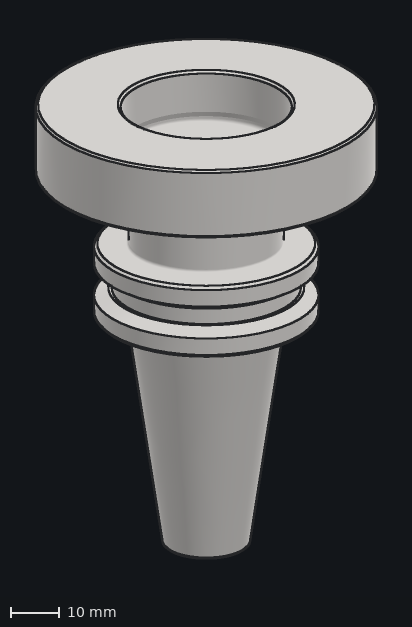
import cadquery as cq
import math

total_height = 97.6
edge_chamfer = 0.5

disc_radius = 70.0 / 2
disc_thickness = 15.0

bore_radius = 17.6
bore_depth = 11.7
bore_chamfer = 0.6
relief_width = 0.3
relief_wall_height = 0.5
relief_fillet = 1.0
relief_flare_angle = 15.0

neck_radius = 15.9
root_fillet = 0.8
disc_root_fillet = 0.6
gauge_height = 47.7
taper_slope = 7 / 24 / 2

flange_radius = 23.0
flange_bottom = 50.9
flange_top = 66.7
flange_chamfer = 0.7
groove_radius = 19.4
groove_floor_width = 3.7
groove_shoulder = 0.7
groove_side_angle = 30.0
cut_clearance = 1.0


def revolve_outline(outline):
    """Revolve a closed (radius, height) outline about the Z axis."""
    return outline.revolve(360, (0, 0, 0), (0, 1, 0))


def holder_body():
    disc_bottom = total_height - disc_thickness
    tip_radius = neck_radius - gauge_height * taper_slope
    tip_edge_radius = tip_radius + edge_chamfer * taper_slope

    outline = (
        cq.Workplane("XZ")
        .lineTo(tip_radius - edge_chamfer, 0)
        .lineTo(tip_edge_radius, edge_chamfer)
        .lineTo(neck_radius, gauge_height)
        .lineTo(neck_radius, flange_bottom - root_fillet)
        .radiusArc((neck_radius + root_fillet, flange_bottom), root_fillet)
        .lineTo(flange_radius - flange_chamfer, flange_bottom)
        .lineTo(flange_radius, flange_bottom + flange_chamfer)
        .lineTo(flange_radius, flange_top - flange_chamfer)
        .lineTo(flange_radius - flange_chamfer, flange_top)
        .lineTo(neck_radius + root_fillet, flange_top)
        .radiusArc((neck_radius, flange_top + root_fillet), root_fillet)
        .lineTo(neck_radius, disc_bottom - disc_root_fillet)
        .radiusArc((neck_radius + disc_root_fillet, disc_bottom), disc_root_fillet)
        .lineTo(disc_radius - edge_chamfer, disc_bottom)
        .lineTo(disc_radius, disc_bottom + edge_chamfer)
        .lineTo(disc_radius, total_height - edge_chamfer)
        .lineTo(disc_radius - edge_chamfer, total_height)
        .lineTo(0, total_height)
        .close()
    )
    return revolve_outline(outline)


def flange_groove():
    middle = (flange_bottom + flange_top) / 2
    shoulder_radius = groove_radius + groove_shoulder
    floor_half = groove_floor_width / 2
    side_rise = (flange_radius - shoulder_radius) * math.tan(math.radians(groove_side_angle))
    mouth_half = floor_half + side_rise
    clear_radius = flange_radius + cut_clearance

    outline = cq.Workplane("XZ").polyline([
        (groove_radius, middle - floor_half),
        (shoulder_radius, middle - floor_half),
        (flange_radius, middle - mouth_half),
        (clear_radius, middle - mouth_half),
        (clear_radius, middle + mouth_half),
        (flange_radius, middle + mouth_half),
        (shoulder_radius, middle + floor_half),
        (groove_radius, middle + floor_half),
    ]).close()
    return revolve_outline(outline)


def disc_bore():
    floor = total_height - bore_depth
    relief_radius = bore_radius + relief_width
    fillet_top = floor + relief_fillet
    flare_bottom = fillet_top + relief_wall_height
    flare_top = flare_bottom + relief_width / math.tan(math.radians(relief_flare_angle))

    outline = (
        cq.Workplane("XZ")
        .moveTo(0, floor)
        .lineTo(relief_radius - relief_fillet, floor)
        .radiusArc((relief_radius, fillet_top), -relief_fillet)
        .lineTo(relief_radius, flare_bottom)
        .lineTo(bore_radius, flare_top)
        .lineTo(bore_radius, total_height - bore_chamfer)
        .lineTo(bore_radius + bore_chamfer, total_height)
        .lineTo(0, total_height)
        .close()
    )
    return revolve_outline(outline)


result = holder_body().cut(flange_groove()).cut(disc_bore())